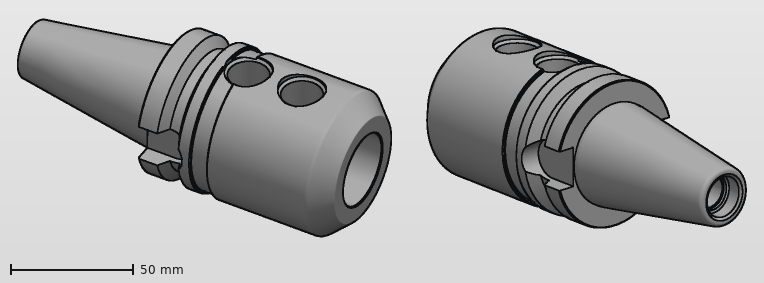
import cadquery as cq

length = 155.8
gauge_x = 65.5
flange_x = 67.3
groove_start_x = 76.4
groove_floor_start_x = 79.5
groove_floor_end_x = 84.1
groove_end_x = 87.0
relief_start_x = 92.5
relief_end_x = 100.2
nose_x = 147.0

body_d = 63.5
flange_d = 63.0
relief_d = 61.1
groove_d = 53.3
gauge_d = 44.4
nose_d = 47.0
taper_ratio = 7 / 24
small_end_d = gauge_d - gauge_x * taper_ratio
small_end_fillet = 1.9
rim_chamfer = 0.5
nose_fillet = 2.0
front_fillet = 0.6

pull_stud_bore_d = 13.9
mouth_d = 20.0
mouth_depth = 0.8
counterbore_d = 17.5
counterbore_depth = 6.9
seat_d = 15.6
seat_start_x = 7.5
seat_end_x = 9.0
tool_bore_d = 31.8
tool_mouth_d = 32.7
tool_mouth_chamfer = (tool_mouth_d - tool_bore_d) / 2
tool_bore_start_x = 87.3

slot_width = 17.0
slot_floor_y = 22.6
slot_end_x = 88.8

screw_xs = (102.0, 127.1)
screw_d = 17.5
screw_mouth_d = 20.0
screw_mouth_z = 29.6
screw_cone_depth = (screw_mouth_d - screw_d) / 2


def revolve_profile(points):
    """Turn (x, radius) points around the X axis."""
    return cq.Workplane("XY").polyline(points).close().revolve(360, (0, 0, 0), (1, 0, 0))


def make_body():
    body = revolve_profile([
        (0, 0),
        (0, small_end_d / 2),
        (gauge_x, gauge_d / 2),
        (flange_x, gauge_d / 2),
        (flange_x, flange_d / 2 - rim_chamfer),
        (flange_x + rim_chamfer, flange_d / 2),
        (groove_start_x, flange_d / 2),
        (groove_floor_start_x, groove_d / 2),
        (groove_floor_end_x, groove_d / 2),
        (groove_end_x, body_d / 2),
        (relief_start_x - rim_chamfer, body_d / 2),
        (relief_start_x, body_d / 2 - rim_chamfer),
        (relief_start_x, relief_d / 2),
        (relief_end_x, relief_d / 2),
        (relief_end_x, body_d / 2 - rim_chamfer),
        (relief_end_x + rim_chamfer, body_d / 2),
        (nose_x, body_d / 2),
        (length, nose_d / 2),
        (length, 0),
    ])
    selection_margin = 0.2
    nose_edge = cq.selectors.BoxSelector(
        (nose_x - selection_margin, -body_d, -body_d),
        (nose_x + selection_margin, body_d, body_d),
        boundingbox=True,
    )
    body = body.edges(nose_edge).fillet(nose_fillet)
    body = body.faces(">X").edges().fillet(front_fillet)
    return body.faces("<X").edges().fillet(small_end_fillet)


def make_axial_bores():
    return revolve_profile([
        (0, 0),
        (0, mouth_d / 2),
        (mouth_depth, counterbore_d / 2),
        (counterbore_depth, counterbore_d / 2),
        (seat_start_x, seat_d / 2),
        (seat_end_x, seat_d / 2),
        (seat_end_x, pull_stud_bore_d / 2),
        (tool_bore_start_x, pull_stud_bore_d / 2),
        (tool_bore_start_x, tool_bore_d / 2),
        (length - tool_mouth_chamfer, tool_bore_d / 2),
        (length, tool_mouth_d / 2),
        (length, 0),
    ])


def make_drive_slot(side):
    """Round-ended slot open at the rear flange face; side is +1 or -1 along Y."""
    radius = slot_width / 2
    arc_x = slot_end_x - radius
    outline = (
        cq.Workplane("XZ", origin=(0, side * slot_floor_y, 0))
        .moveTo(gauge_x, -radius)
        .lineTo(arc_x, -radius)
        .threePointArc((slot_end_x, 0), (arc_x, radius))
        .lineTo(gauge_x, radius)
        .close()
    )
    return outline.extrude(-side * body_d / 2)


def make_screw_hole(x):
    """Drilled hole with a conical step below a wider cylindrical mouth."""
    cone_z = screw_mouth_z - screw_cone_depth
    profile = [
        (x, 0),
        (x + screw_d / 2, 0),
        (x + screw_d / 2, cone_z),
        (x + screw_mouth_d / 2, screw_mouth_z),
        (x + screw_mouth_d / 2, body_d),
        (x, body_d),
    ]
    return cq.Workplane("XZ").polyline(profile).close().revolve(360, (x, 0, 0), (x, 1, 0))


result = make_body().cut(make_axial_bores())
for side in (1, -1):
    result = result.cut(make_drive_slot(side))
for x in screw_xs:
    result = result.cut(make_screw_hole(x))